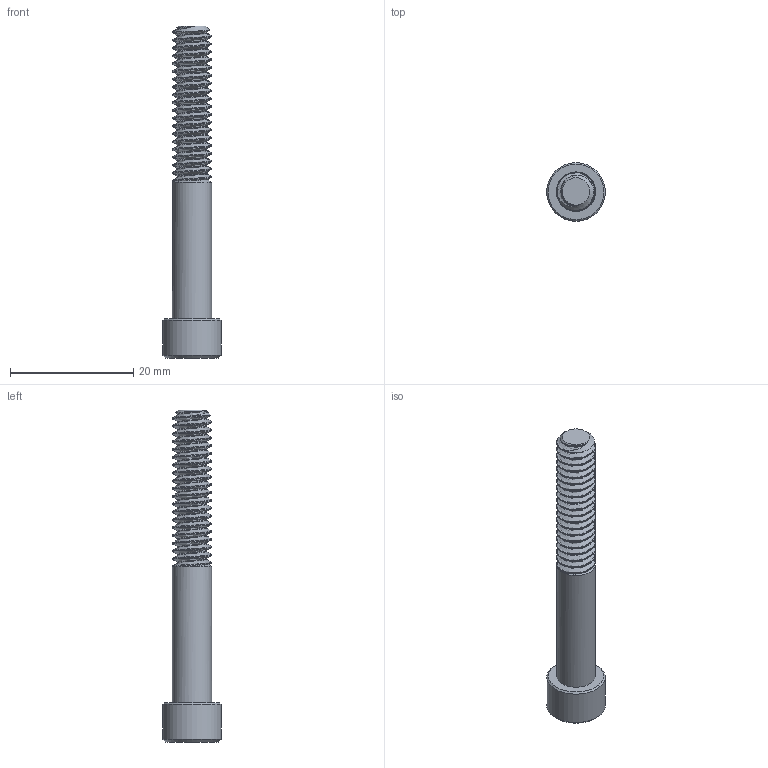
import cadquery as cq
import math

head_diameter = 9.525
head_height = 6.35
shank_diameter = 6.35
shank_length = 47.625
pitch = 1.27
thread_turns = 20

head_lower_chamfer = 0.45
head_upper_chamfer = 0.25
tip_chamfer = 0.95

crest_width = pitch / 8
root_width = pitch / 8
flank_angle = math.radians(30)
flank_spans = 4
crest_direction = math.pi * 5 / 8

head_radius = head_diameter / 2
shank_radius = shank_diameter / 2
flank_rise = (pitch - crest_width - root_width) / 2
thread_depth = flank_rise / math.tan(flank_angle)
root_radius = shank_radius - thread_depth
tip_z = head_height + shank_length
thread_start_z = tip_z - thread_turns * pitch

crest_end_angle = math.pi * crest_width / pitch
root_start_angle = math.pi * (1 - root_width / pitch)


def polar(radius, angle):
    """Point at an angle measured from the middle of the crest."""
    direction = crest_direction + angle
    return (radius * math.cos(direction), radius * math.sin(direction))


def make_unthreaded_body():
    """Turned head and plain shank, ending in the cone where the thread groove runs out."""
    outline = [
        (0, 0),
        (head_radius - head_lower_chamfer, 0),
        (head_radius, head_lower_chamfer),
        (head_radius, head_height - head_upper_chamfer),
        (head_radius - head_upper_chamfer, head_height),
        (shank_radius, head_height),
        (shank_radius, thread_start_z),
        (root_radius, thread_start_z + flank_rise),
        (0, thread_start_z + flank_rise),
    ]
    return cq.Workplane("XZ").polyline(outline).close().revolve(360, (0, 0), (0, 1))


def flank_points(side):
    """Points along a spiral flank from crest to root; side is 1 or -1."""
    points = []
    for step in range(flank_spans + 1):
        fraction = step / flank_spans
        angle = crest_end_angle + (root_start_angle - crest_end_angle) * fraction
        points.append(polar(shank_radius - thread_depth * fraction, side * angle))
    return points


def make_thread_turn():
    """First turn of the right-handed thread: its cam-shaped section twisted once around."""
    leading_flank = flank_points(1)
    trailing_flank = flank_points(-1)
    section = (
        cq.Workplane("XY", origin=(0, 0, thread_start_z))
        .moveTo(*trailing_flank[0])
        .threePointArc(polar(shank_radius, 0), leading_flank[0])
        .spline(leading_flank[1:], includeCurrent=True)
        .threePointArc(polar(root_radius, math.pi), trailing_flank[-1])
        .spline(trailing_flank[-2::-1], includeCurrent=True)
        .close()
    )
    return section.twistExtrude(pitch, 360)


def make_tip_cutter():
    """Ring with a conical bore that bevels the last turn."""
    outline = [
        (shank_radius - tip_chamfer, tip_z),
        (shank_radius + tip_chamfer, tip_z - 2 * tip_chamfer),
        (shank_radius + tip_chamfer, tip_z),
    ]
    return cq.Workplane("XZ").polyline(outline).close().revolve(360, (0, 0), (0, 1))


def make_thread_turns():
    """All turns stacked end to end, the last one bevelled at the tip."""
    first_turn = make_thread_turn()
    turns = [first_turn.translate((0, 0, index * pitch)) for index in range(thread_turns)]
    turns[-1] = turns[-1].cut(make_tip_cutter())
    return [turn.val() for turn in turns]


result = cq.Workplane(make_unthreaded_body().val().fuse(*make_thread_turns()))